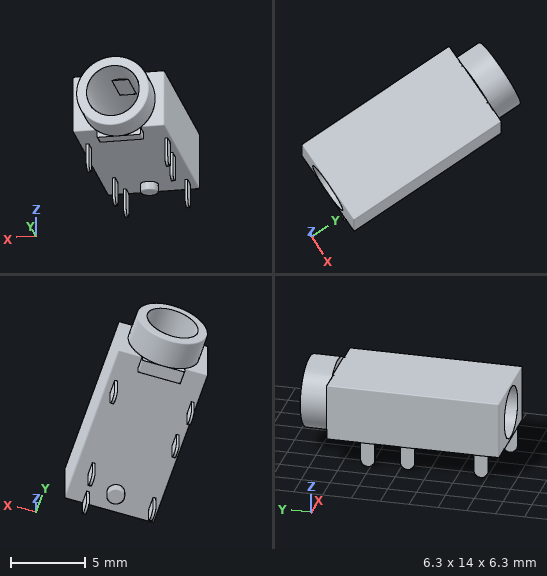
import cadquery as cq

TOTAL_LENGTH = 14.0
TOTAL_HEIGHT = 6.3
EDGE_ROUND = 0.1

BODY_WIDTH = 6.3
BODY_HEIGHT = 4.0
COLLAR_DIAMETER = 5.0
COLLAR_LENGTH = 2.0
BODY_LENGTH = TOTAL_LENGTH - COLLAR_LENGTH
BODY_BOTTOM = -BODY_HEIGHT / 2
BODY_TOP = BODY_HEIGHT / 2

BORE_DIAMETER = 3.6
ROOF_THICKNESS = 0.3
ROOF_START = 8.74
ROOF_LENGTH = 2.76

FOOT_WIDTH = 3.0
FOOT_LENGTH = 1.0
FOOT_HEIGHT = (COLLAR_DIAMETER - BODY_HEIGHT) / 2

PEG_DIAMETER = 1.2
PEG_HEIGHT = 0.6
PEG_Y = 1.5

PIN_WIDTH = 1.0
PIN_THICKNESS = 0.2
OUTER_LEFT_X = -2.9
INNER_LEFT_X = OUTER_LEFT_X + PIN_THICKNESS
PIN_PLACES = [
    (OUTER_LEFT_X, 9.2),
    (INNER_LEFT_X, 6.5),
    (INNER_LEFT_X, 1.4),
    (1.7, PIN_WIDTH / 2),
    (2.0, 2.7),
    (2.5, 9.2),
]


def cylinder_along_y(diameter, start, length):
    """Cylinder on the bore axis running toward +Y from start."""
    plane = cq.Workplane("XZ", origin=(0, start, 0))
    return plane.circle(diameter / 2).extrude(-length)


def make_housing():
    """Box body and round collar, with their outer edges rounded."""
    body = cq.Workplane("XY").box(BODY_WIDTH, BODY_LENGTH, BODY_HEIGHT)
    body = body.translate((0, BODY_LENGTH / 2, 0)).edges().fillet(EDGE_ROUND)
    collar = cylinder_along_y(COLLAR_DIAMETER, BODY_LENGTH, COLLAR_LENGTH)
    collar = collar.faces(">Y").edges().fillet(EDGE_ROUND)
    root = cylinder_along_y(COLLAR_DIAMETER, BODY_LENGTH - EDGE_ROUND, EDGE_ROUND)
    root = root.intersect(cq.Workplane("XY").box(BODY_WIDTH, 2 * TOTAL_LENGTH, BODY_HEIGHT))
    return body.union(root).union(collar)


def make_bore():
    """Through bore, with a flat ceiling below the roof plate."""
    bore = cylinder_along_y(BORE_DIAMETER, 0, TOTAL_LENGTH)
    roof = cq.Workplane("XY").box(BODY_WIDTH, ROOF_LENGTH, ROOF_THICKNESS)
    roof = roof.translate((0, ROOF_START + ROOF_LENGTH / 2, BODY_TOP - ROOF_THICKNESS / 2))
    return bore.cut(roof)


def make_foot():
    """Foot block with rounded lower edges."""
    foot = cq.Workplane("XY", origin=(0, BODY_LENGTH - FOOT_LENGTH / 2, BODY_BOTTOM + EDGE_ROUND))
    foot = foot.rect(FOOT_WIDTH, FOOT_LENGTH).extrude(-FOOT_HEIGHT - EDGE_ROUND)
    return foot.faces("<Z").edges("<Y or <X or >X").fillet(EDGE_ROUND)


def make_peg():
    """Locating peg with a rounded lower rim."""
    peg = cq.Workplane("XY", origin=(0, PEG_Y, BODY_BOTTOM))
    peg = peg.circle(PEG_DIAMETER / 2).extrude(-PEG_HEIGHT)
    return peg.faces("<Z").edges().fillet(EDGE_ROUND)


def make_pin(face_x, centre_y):
    """Blade with a full-round tip, hanging from the underside of the body."""
    half = PIN_WIDTH / 2
    tip = COLLAR_DIAMETER / 2 - TOTAL_HEIGHT
    profile = (
        cq.Workplane("YZ", origin=(face_x, centre_y, 0))
        .moveTo(-half, BODY_BOTTOM)
        .lineTo(-half, tip + half)
        .threePointArc((0, tip), (half, tip + half))
        .lineTo(half, BODY_BOTTOM)
        .close()
    )
    return profile.extrude(PIN_THICKNESS)


result = make_housing().cut(make_bore()).union(make_foot()).union(make_peg())
for face_x, centre_y in PIN_PLACES:
    result = result.union(make_pin(face_x, centre_y))